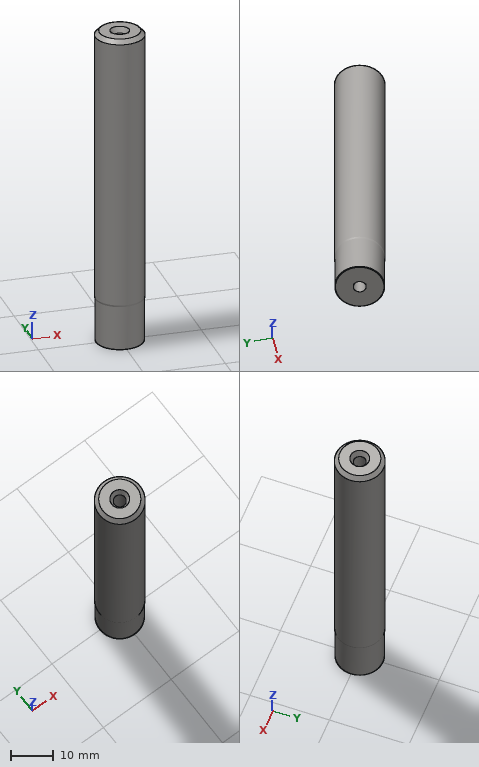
import cadquery as cq
import math

length = 80.0
body_radius = 6.0
top_chamfer = 1.0

spigot_diameter = 11.8
spigot_radius = spigot_diameter / 2
spigot_length = 11.0
shoulder_height = 0.5
bottom_chamfer = 0.2

bore_radius = 1.5
mouth_radius = 2.3
mouth_angle = 60.0
mouth_depth = (mouth_radius - bore_radius) / math.tan(math.radians(mouth_angle / 2))


def make_body():
    """Revolve the outer half profile about the Z axis."""
    shoulder_top = spigot_length + shoulder_height
    return (
        cq.Workplane("XZ")
        .moveTo(0, 0)
        .lineTo(spigot_radius - bottom_chamfer, 0)
        .lineTo(spigot_radius, bottom_chamfer)
        .lineTo(spigot_radius, spigot_length)
        .lineTo(body_radius, shoulder_top)
        .lineTo(body_radius, length - top_chamfer)
        .lineTo(body_radius - top_chamfer, length)
        .lineTo(0, length)
        .close()
        .revolve(360, (0, 0, 0), (0, 1, 0))
    )


def make_bore():
    """Revolve the half profile of the bore and its countersink about Z."""
    return (
        cq.Workplane("XZ")
        .moveTo(0, 0)
        .lineTo(bore_radius, 0)
        .lineTo(bore_radius, length - mouth_depth)
        .lineTo(mouth_radius, length)
        .lineTo(0, length)
        .close()
        .revolve(360, (0, 0, 0), (0, 1, 0))
    )


result = make_body().cut(make_bore())